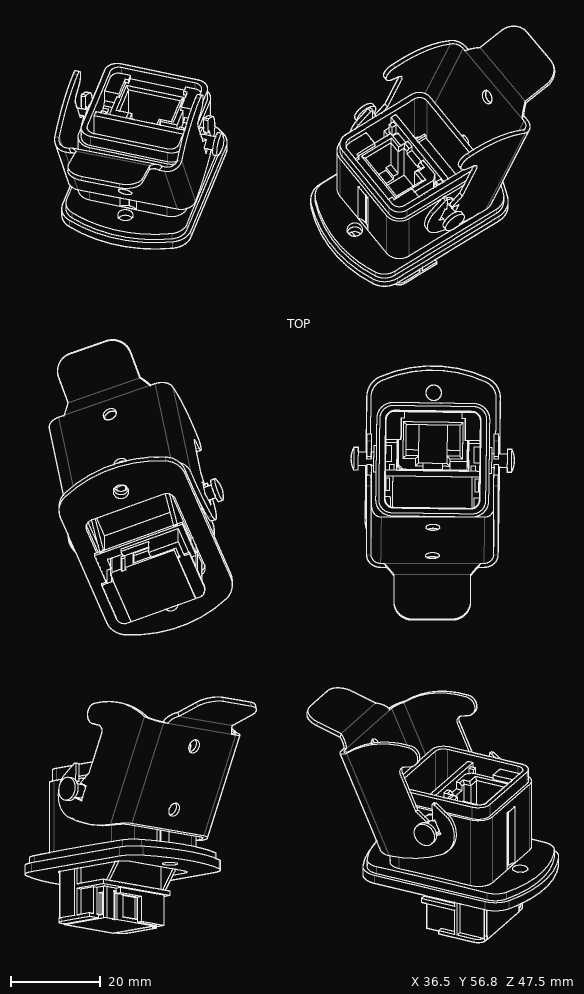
import cadquery as cq
import math


fit_turn = -0.8
cavity_x = 21.25
cavity_y = 21.75
cavity_radius = 2.05
screw_y = 14.95
screw_diameter = 3.4
pin_z = 14.65

flange_x = 27.95
flange_y = 40.0
flange_height = 1.9
flange_crown_radius = 795.2
flange_arc_radius = 28.4
flange_corner_radius = 4.0
gasket_margin = 0.95
gasket_height = 2.05

body_x = 25.2
body_y = 25.35
body_top = 18.3
body_corner_radius = 3.65
rim_step = 0.7
rim_top = 21.2
screw_relief_radius = 2.95
screw_relief_top = 15.9
seam_groove = 0.15

boss_diameter = 5.9
boss_thickness = 0.55
shaft_diameter = 3.05
head_diameter = 5.15
head_inner_x = 16.65
head_edge_x = 17.6
pin_span = 36.5
head_outer_x = pin_span / 2

lever_lean = 25.0
lever_roll = -0.4
plate = 1.0
lever_half_x = 14.7
lever_back = 16.4
lever_bend_radius = 3.2
lever_bottom = -2.05
lever_top = 21.75
seat_half = 1.9
seat_bottom = 1.65
seat_back = 2.35
lock_hole_diameter = 3.05
lock_hole_heights = (2.65, 17.6)
tab_bend = 50.0
tab_bend_inner = 2.85
tab_straight = 10.3
tab_half_x = 8.6
tab_root_half_x = 11.5
tab_corner_radius = 4.2

fit_gap = 0.05
holder_half_x = cavity_x / 2 - fit_gap
holder_back = 10.75
block_top = 19.4
block_bottom = 14.65
block_front = 4.4
block_inner_x = 7.2
block_step_x = 6.4
block_step_y = 9.25
leg_inner_x = 8.25
leg_outer_x = 9.3
leg_front = -0.05
leg_rib_front = 3.9
leg_rib_back = 4.6
foot_bottom = -13.4
foot_height = 0.85
foot_inner_x = 7.8
divider_back = -2.45
divider_front = -3.75
ledge_top = -5.5
ledge_height = 1.0
ledge_front = -4.45
arm_top = 15.35
arm_inner_x = 8.0
ramp_length = 0.6
ramp_height = 1.0
pocket_depth = 4.55
pocket_width = 1.35
pocket_front = -0.55
pocket_back = 3.0
tub_floor = 4.55
tub_rim = 5.7
tub_bottom = 3.4
tub_front = -10.8
tub_half_x = 8.85
tub_shelf_front = -8.4
shelf_corner_z = 4.0
shelf_slot_inner_x = 9.55
shelf_slot_outer_x = 10.35
shelf_slot_front = -7.05
shelf_slot_back = -4.2
gusset_inner_x = 8.4
gusset_toe = 0.45
panel_left = -4.5
panel_window_right = 2.2
panel_window_top = -7.7
lug_inner_x = 8.6
lug_outer_x = 9.6
lug_depth = 1.2
lug_drop = 0.55

jack_half_x = 7.7
jack_neck_half_x = 7.1
jack_back = 10.7
jack_front = -2.3
jack_top = 18.4
jack_bottom = -13.6
jack_lower_corner = 0.55
jack_upper_corner = 1.15
jack_bevel = 0.6
port_half_x = 6.0
port_back = 7.8
port_front = 0.85
port_depth = 10.2
port_step_y = 2.15
port_step = 1.15
key_half_x = 3.2
key_front = -0.8
key_extra_depth = 2.3
key_notch_half_x = 2.15
key_notch_depth = 1.7
latch_half_x = 2.15
latch_groove_depth = 0.55
low_corner_x = 3.85
low_corner_back = -0.35
rail_left = -5.05
rail_right = -4.1
rail_top = -7.15
side_slot_front = -1.35
side_slot_back = -0.3


def box(x0, x1, y0, y1, z0, z1):
    """Axis-parallel block between the given limits."""
    return cq.Workplane("XY").box(x1 - x0, y1 - y0, z1 - z0, centered=False).translate((x0, y0, z0))


def both_sides(body):
    """The body joined with its mirror image across X = 0."""
    return body.union(body.mirror("YZ"))


def rounded_block(size_x, size_y, z0, z1, radius):
    """Upright block centred on the Z axis with rounded corners."""
    block = cq.Workplane("XY").workplane(offset=z0).rect(size_x, size_y).extrude(z1 - z0)
    return block.edges("|Z").fillet(radius)


def flange_block(margin, z0, z1):
    """Plate with straight sides, arched ends and rounded corners, grown by a margin."""
    half_x = flange_x / 2 + margin
    half_y = flange_y / 2 + margin
    radius = flange_arc_radius + margin
    end_y = half_y - radius + math.sqrt(radius**2 - half_x**2)
    outline = (
        cq.Workplane("XY").workplane(offset=z0)
        .moveTo(-half_x, -end_y)
        .threePointArc((0, -half_y), (half_x, -end_y))
        .lineTo(half_x, end_y)
        .threePointArc((0, half_y), (-half_x, end_y))
        .close()
    )
    return outline.extrude(z1 - z0).edges("|Z").fillet(flange_corner_radius + margin)


def cavity(z0, z1):
    return rounded_block(cavity_x, cavity_y, z0, z1, cavity_radius)


def screw_holes(diameter, z0, z1):
    places = [(0, -screw_y), (0, screw_y)]
    return cq.Workplane("XY").workplane(offset=z0).pushPoints(places).circle(diameter / 2).extrude(z1 - z0)


def make_gasket():
    gasket = flange_block(gasket_margin, -gasket_height, 0)
    gasket = gasket.cut(cavity(-gasket_height, 0))
    return gasket.cut(screw_holes(screw_diameter, -gasket_height, 0))


def make_pivot():
    """One pin with a domed head and a round boss at its foot, on the +X side."""
    wall_x = (cavity_x + body_x) / 4
    boss_x = body_x / 2 + boss_thickness
    shaft = (
        cq.Workplane("XY")
        .moveTo(wall_x, 0)
        .lineTo(wall_x, boss_diameter / 2)
        .lineTo(boss_x, boss_diameter / 2)
        .lineTo(boss_x, shaft_diameter / 2)
        .lineTo(head_inner_x, shaft_diameter / 2)
        .lineTo(head_inner_x, head_diameter / 2)
        .lineTo(head_edge_x, head_diameter / 2)
    )
    dome_height = head_outer_x - head_edge_x
    dome_radius = ((head_diameter / 2) ** 2 + dome_height**2) / (2 * dome_height)
    middle_y = head_diameter / 4
    middle_x = head_outer_x - dome_radius + math.sqrt(dome_radius**2 - middle_y**2)
    profile = shaft.threePointArc((middle_x, middle_y), (head_outer_x, 0)).close()
    return profile.revolve(360, (0, 0, 0), (1, 0, 0)).translate((0, 0, pin_z))


def make_housing():
    crown = (
        cq.Workplane("YZ").center(0, flange_height - flange_crown_radius)
        .circle(flange_crown_radius).extrude(flange_x, both=True)
    )
    housing = flange_block(0, 0, flange_height).intersect(crown)
    housing = housing.union(rounded_block(body_x, body_y, 0, body_top, body_corner_radius))
    rim = rounded_block(
        body_x - 2 * rim_step, body_y - 2 * rim_step, 0, rim_top, body_corner_radius - rim_step
    )
    housing = housing.union(rim)
    housing = housing.union(both_sides(make_pivot()))
    housing = housing.cut(screw_holes(screw_diameter, 0, flange_height))
    housing = housing.cut(screw_holes(2 * screw_relief_radius, flange_height, screw_relief_top))
    seam_y = screw_y - screw_relief_radius
    for inner_y in (seam_y - seam_groove, -screw_y):
        seam = box(
            -seam_groove / 2, seam_groove / 2, inner_y, inner_y + screw_relief_radius + seam_groove,
            flange_height, screw_relief_top,
        )
        housing = housing.cut(seam)
    return housing.cut(cavity(0, rim_top))


def lever_side_outline():
    """Outline of the lever arms in the YZ plane, with the hooked nose and the pin notch."""
    return (
        cq.Workplane("YZ")
        .moveTo(-lever_back, lever_bottom)
        .lineTo(-lever_back, lever_top)
        .lineTo(-13.35, lever_top)
        .threePointArc((-6.25, 22.45), (2.7, 19.8))
        .threePointArc((4.2, 17.6), (1.7, 15.3))
        .lineTo(-0.3, 15.55)
        .threePointArc((-1.5, 15.2), (-2.0, 14.15))
        .lineTo(-2.0, 4.95)
        .lineTo(-0.35, seat_half)
        .lineTo(-seat_back, seat_half)
        .lineTo(-seat_back, -seat_bottom)
        .lineTo(seat_half, -seat_bottom)
        .lineTo(seat_half, seat_half)
        .lineTo(1.25, seat_half)
        .lineTo(2.85, 5.6)
        .lineTo(3.35, 5.4)
        .lineTo(5.4, 1.65)
        .threePointArc((5.05, -2.85), (0.2, -6.25))
        .threePointArc((-6.6, -5.8), (-lever_back, lever_bottom))
        .close()
    )


def make_lever_shell():
    """U-shaped sheet trimmed to the outline of the arms."""
    low, high, open_y = -11.35, 28.4, 8.5
    half_x = lever_half_x
    outer = box(-half_x, half_x, -lever_back, open_y, low, high)
    outer = outer.edges("|Z and <Y").fillet(lever_bend_radius)
    inner = box(plate - half_x, half_x - plate, plate - lever_back, open_y, low, high)
    inner = inner.edges("|Z and <Y").fillet(lever_bend_radius - plate)
    arms = lever_side_outline().extrude(half_x, both=True)
    return outer.cut(inner).intersect(arms)


def make_tab():
    """Finger tab bent outward from the top of the back plate."""
    bend = math.radians(tab_bend)
    centre_y = -lever_back - tab_bend_inner

    def on_bend(radius, angle):
        return (centre_y + radius * math.cos(angle), lever_top + radius * math.sin(angle))

    inner_radius = tab_bend_inner
    outer_radius = tab_bend_inner + plate
    run_y = -tab_straight * math.sin(bend)
    run_z = tab_straight * math.cos(bend)
    inner_y, inner_z = on_bend(inner_radius, bend)
    outer_y, outer_z = on_bend(outer_radius, bend)
    strip = (
        cq.Workplane("YZ")
        .moveTo(*on_bend(inner_radius, 0))
        .threePointArc(on_bend(inner_radius, bend / 2), (inner_y, inner_z))
        .lineTo(inner_y + run_y, inner_z + run_z)
        .lineTo(outer_y + run_y, outer_z + run_z)
        .lineTo(outer_y, outer_z)
        .threePointArc(on_bend(outer_radius, bend / 2), on_bend(outer_radius, 0))
        .close()
        .extrude(tab_root_half_x, both=True)
    )
    root = outer_radius
    flat = box(-tab_half_x, tab_half_x, -tab_straight, root, -root, root)
    flat = flat.edges("|Z and <Y").fillet(tab_corner_radius)
    flare = cq.Workplane("XY").polyline(
        [
            (-tab_half_x, 0),
            (tab_half_x, 0),
            (tab_root_half_x, root),
            (-tab_root_half_x, root),
        ]
    ).close().extrude(root, both=True)
    outline = flat.union(flare)
    outline = outline.rotate((0, 0, 0), (1, 0, 0), tab_bend - 90)
    return strip.intersect(outline.translate((0, outer_y, outer_z)))


def make_lever():
    lever = make_lever_shell().union(make_tab())
    hole_places = [(0, height) for height in lock_hole_heights]
    holes = (
        cq.Workplane("XZ").workplane(offset=lever_back - 2 * plate)
        .pushPoints(hole_places).circle(lock_hole_diameter / 2).extrude(3 * plate)
    )
    lever = lever.cut(holes)
    lever = lever.rotate((0, 0, 0), (1, 0, 0), lever_lean)
    lever = lever.rotate((0, 0, 0), (0, 1, 0), lever_roll)
    return lever.translate((0, 0, pin_z))


def make_holder_side():
    """Leg, foot, ledge, gusset and corner block on the +X side."""
    half_x = holder_half_x
    ledge_bottom = ledge_top - ledge_height
    foot_top = foot_bottom + foot_height
    side = box(leg_inner_x, leg_outer_x, leg_front, holder_back, foot_bottom, arm_top)
    side = side.union(box(leg_inner_x, leg_outer_x, divider_front, leg_front, ledge_bottom, arm_top))
    side = side.union(box(leg_inner_x, half_x, leg_rib_front, leg_rib_back, foot_bottom, tub_bottom))
    side = side.union(box(foot_inner_x, half_x, leg_front, holder_back, foot_bottom, foot_top))
    side = side.union(box(leg_inner_x, half_x, ledge_front, leg_rib_front, ledge_bottom, ledge_top))
    side = side.union(box(arm_inner_x, half_x, divider_front, holder_back, tub_bottom, arm_top))
    pocket = (
        cq.Workplane("XZ").workplane(offset=-pocket_back)
        .polyline([(half_x - pocket_width, arm_top), (half_x, arm_top), (half_x, arm_top - pocket_depth)])
        .close().extrude(pocket_back - pocket_front)
    )
    side = side.cut(pocket)
    ramp = (
        cq.Workplane("YZ").workplane(offset=arm_inner_x)
        .polyline(
            [
                (block_front - ramp_length, arm_top),
                (block_front, arm_top),
                (block_front, arm_top + ramp_height),
            ]
        )
        .close().extrude(half_x - arm_inner_x)
    )
    side = side.union(ramp)
    block = box(block_inner_x, half_x, block_front, holder_back, block_bottom, block_top)
    block = block.union(box(block_step_x, half_x, block_step_y, holder_back, block_bottom, block_top))
    side = side.union(block)
    lug_back = divider_back + lug_depth
    lug = box(lug_inner_x, lug_outer_x, divider_back, lug_back, tub_bottom, block_top - lug_drop)
    side = side.union(lug)
    gusset = (
        cq.Workplane("YZ").workplane(offset=gusset_inner_x)
        .polyline(
            [
                (divider_front, ledge_top),
                (divider_front - gusset_toe, ledge_top),
                (tub_front, tub_bottom),
                (divider_front, tub_bottom),
            ]
        )
        .close().extrude(leg_outer_x - gusset_inner_x)
    )
    return side.union(gusset)


def make_tub():
    """Front compartment floor with a pocketed shelf on each side."""
    half_x = holder_half_x
    tub = box(-half_x, half_x, tub_front, divider_front, tub_bottom, tub_rim)
    tub = tub.cut(box(-tub_half_x, tub_half_x, tub_front, divider_front, tub_floor, tub_rim))
    corner = box(leg_outer_x, half_x, tub_front, tub_shelf_front, shelf_corner_z, tub_rim)
    slot = box(shelf_slot_inner_x, shelf_slot_outer_x, shelf_slot_front, shelf_slot_back, tub_floor, tub_rim)
    return tub.cut(both_sides(corner.union(slot)))


def make_holder():
    half_x = holder_half_x
    ledge_bottom = ledge_top - ledge_height
    holder = both_sides(make_holder_side())
    holder = holder.union(box(-half_x, half_x, divider_front, divider_back, tub_bottom, block_top))
    holder = holder.union(
        box(-leg_outer_x, leg_outer_x, divider_front, divider_back, ledge_bottom, tub_bottom)
    )
    holder = holder.union(box(-half_x, half_x, ledge_front, divider_back, ledge_bottom, ledge_top))
    holder = holder.union(make_tub())
    panel = box(panel_left, leg_outer_x, divider_front, divider_back, foot_bottom, ledge_bottom)
    window = box(panel_left, panel_window_right, divider_front, divider_back, foot_bottom, panel_window_top)
    holder = holder.union(panel.cut(window))
    holder = holder.union(box(leg_inner_x, leg_outer_x, divider_back, leg_front, foot_bottom, ledge_bottom))
    trim = rounded_block(2 * half_x, 2 * (cavity_y / 2 - fit_gap), foot_bottom, block_top, cavity_radius)
    return holder.intersect(trim)


def port_bevel():
    """Sloping cut around the mouth of the plug port."""
    def layer(half_x, key_x, grow):
        return [
            (-half_x, port_front - grow),
            (-key_x, port_front - grow),
            (-key_x, key_front - grow),
            (key_x, key_front - grow),
            (key_x, port_front - grow),
            (half_x, port_front - grow),
            (half_x, port_back + grow),
            (-half_x, port_back + grow),
        ]

    lower = layer(port_half_x, key_half_x, 0)
    upper = layer(port_half_x + jack_bevel, key_half_x + jack_bevel, jack_bevel)
    return (
        cq.Workplane("XY").workplane(offset=jack_top - jack_bevel).polyline(lower).close()
        .workplane(offset=jack_bevel).polyline(upper).close().loft(ruled=True)
    )


def make_jack():
    jack = box(-jack_half_x, jack_half_x, jack_front, jack_back, jack_bottom, block_bottom)
    jack = jack.edges("|Z and <X and <Y").chamfer(jack_lower_corner)
    head = box(-jack_half_x, jack_half_x, jack_front, jack_back, block_bottom, jack_top)
    jack = jack.union(head.edges("|Z and <X and <Y").chamfer(jack_upper_corner))
    shoulder = box(jack_neck_half_x, jack_half_x, block_front, jack_back, block_bottom, jack_top)
    shoulder = shoulder.union(box(block_step_x, jack_half_x, block_step_y, jack_back, block_bottom, jack_top))
    jack = jack.cut(both_sides(shoulder))
    floor = jack_top - port_depth
    port = box(-port_half_x, port_half_x, port_front, port_back, floor, jack_top)
    keyway = box(-key_half_x, key_half_x, key_front, port_back, floor, jack_top)
    keyway = keyway.union(box(-key_half_x, key_half_x, key_front, port_back, floor - key_extra_depth, floor))
    step = box(-port_half_x, port_half_x, port_step_y, port_back, floor - port_step, floor)
    jack = jack.cut(port).cut(keyway).cut(step)
    jack = jack.cut(port_bevel())
    notch_floor = jack_top - key_notch_depth
    notch = box(-key_notch_half_x, key_notch_half_x, jack_front, key_front, notch_floor, jack_top)
    jack = jack.cut(notch)
    jack = jack.cut(box(low_corner_x, jack_half_x, jack_front, low_corner_back, notch_floor, jack_top))
    groove = box(
        -latch_half_x, latch_half_x, jack_front, jack_front + latch_groove_depth,
        jack_bottom + foot_height, panel_window_top,
    )
    jack = jack.cut(groove)
    jack = jack.cut(
        box(rail_left, rail_right, jack_front, jack_front + latch_groove_depth, jack_bottom, rail_top)
    )
    side_slot = box(
        -jack_half_x, latch_groove_depth - jack_half_x, side_slot_front, side_slot_back,
        jack_bottom + foot_height, panel_window_top,
    )
    return jack.cut(side_slot)


gasket = make_gasket()
housing = make_housing()
lever = make_lever()
holder = make_holder()
jack = make_jack()
fitted = [body.rotate((0, 0, 0), (0, 0, 1), fit_turn) for body in (gasket, housing, holder, jack)]
result = cq.Compound.makeCompound([lever.val(), *[body.val() for body in fitted]])